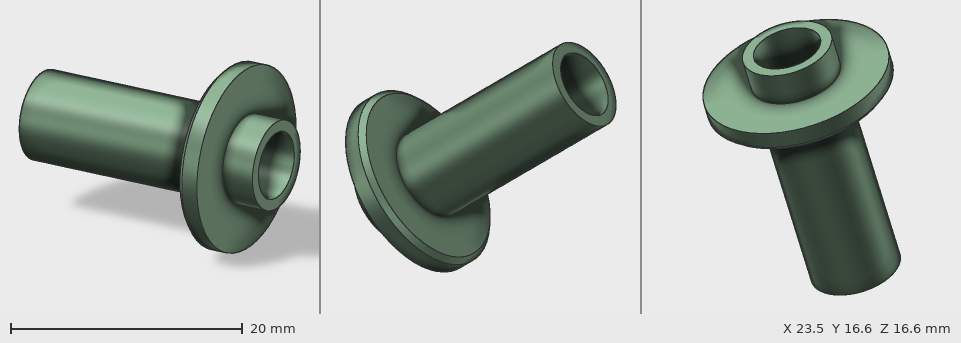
import cadquery as cq

sleeve_length = 23.5
sleeve_diameter = 8.0
bore_diameter = 6.0
flange_diameter = 16.6
flange_thickness = 2.0
flange_chamfer = 0.5
flange_start = 18.5


def disc(start, length, diameter):
    """Solid cylinder along +X, beginning at the given X position."""
    return cq.Workplane("YZ", origin=(start, 0, 0)).circle(diameter / 2).extrude(length)


sleeve = disc(0, sleeve_length, sleeve_diameter)

flange = disc(flange_start, flange_thickness, flange_diameter)
flange = flange.faces("<X").edges().chamfer(flange_chamfer)

bore = disc(0, sleeve_length, bore_diameter)

result = sleeve.union(flange).cut(bore)